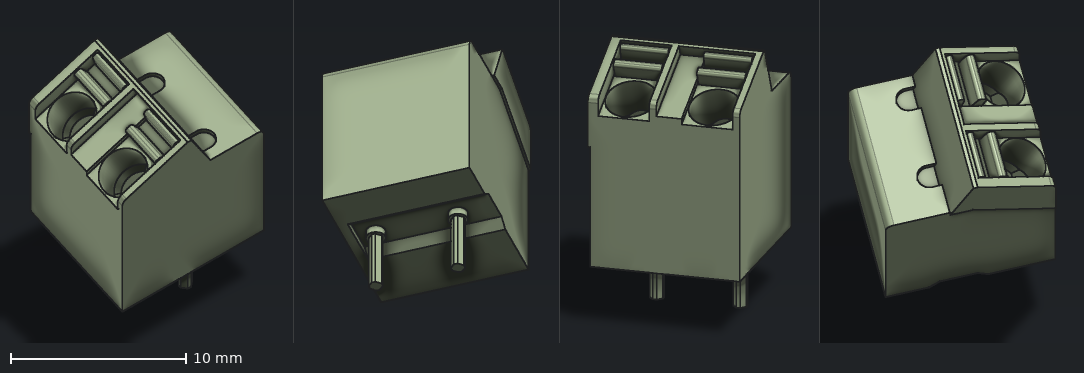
import cadquery as cq
import math


block_width = 8.95
depth = 10.0
shoulder_height = 9.5
head_height = 12.4
side_rib = 0.15
head_seam_depth = 4.9
head_back = 6.22
crest_front = 4.61
corner_radius = 0.5

slope_angle = math.radians(25)
slope_cos = math.cos(slope_angle)
slope_sin = math.sin(slope_angle)
slope_tan = math.tan(slope_angle)

slope_foot = head_height - crest_front * slope_tan
seam_foot = shoulder_height - head_seam_depth * slope_tan
crest_back = head_back - (head_height - shoulder_height) * slope_tan

pole_pitch = 5.0
first_pole = 2.0
pole_centres = [first_pole, first_pole + pole_pitch]

pocket_width = 3.05
pocket_depth = 0.99
pocket_end = 4.85
label_slot_start = 3.96
label_slot_depth = 0.68

wire_hole_diameter = 3.0
wire_hole_centre = 1.18
wire_hole_depth = 2.99
funnel_floor_diameter = 2.45
funnel_cone_taper = 34
funnel_flat_spacing = 1.85
funnel_flat_taper = 40

notch_offset = 0.51
notch_width = 1.4
notch_end = 7.5
notch_depth = 0.3

bar_length = 2.88
bar_height = 0.95
bar_round = 0.19
bar_draft = math.radians(10)
front_bar_face = 2.88
front_bar_width = 0.55
rear_bar_face = 4.75
rear_bar_width = 0.45

pin_offset = 0.24
pin_y = 5.7
pin_size = 0.8
pin_chamfer = 0.29
pin_drop = 3.5
sleeve_diameter = 1.13

relief_height = 0.48
relief_base = 3.5
relief_roof = 2.23
relief_end_wall = 0.64


def slope_plane(depth_below=0.0):
    """Plane parallel to the sloping face: local X is X, local Y runs up the slope."""
    origin = (0, depth_below * slope_sin, slope_foot - depth_below * slope_cos)
    return cq.Plane(origin=origin, xDir=(1, 0, 0), normal=(0, -slope_sin, slope_cos))


def side_profile(points, x_start, x_end):
    """Prism along X from a (Y, Z) outline."""
    return cq.Workplane("YZ").workplane(offset=x_start).polyline(points).close().extrude(x_end - x_start)


def make_block():
    outline = [
        (0, 0),
        (depth, 0),
        (depth, shoulder_height),
        (head_seam_depth, shoulder_height),
        (0, seam_foot),
    ]
    block = side_profile(outline, 0, block_width)
    return block.edges(">Y and >Z and |X").fillet(corner_radius)


def make_head():
    outline = [
        (0, seam_foot),
        (head_seam_depth, shoulder_height),
        (head_back, shoulder_height),
        (crest_back, head_height),
        (crest_front, head_height),
        (0, slope_foot),
    ]
    head = side_profile(outline, -side_rib, block_width)
    front_edge = cq.selectors.NearestToPointSelector((block_width / 2, 0, slope_foot))
    return head.edges(front_edge).fillet(corner_radius)


def make_slope_pocket(x_start, x_end, floor_depth):
    """Open-fronted pocket in the sloping face."""
    reach = pocket_end + depth
    return (
        cq.Workplane(slope_plane(floor_depth))
        .center((x_start + x_end) / 2, pocket_end - reach / 2)
        .rect(x_end - x_start, reach)
        .extrude(floor_depth + corner_radius)
    )


def make_wire_hole(x):
    """Round entry that narrows at its end to a cone with front and back flats."""
    floor = cq.Workplane(slope_plane(pocket_depth + wire_hole_depth)).center(x, wire_hole_centre)
    bore = floor.circle(wire_hole_diameter / 2).extrude(wire_hole_depth)
    cone = floor.circle(funnel_floor_diameter / 2).extrude(wire_hole_depth, taper=-funnel_cone_taper)
    flat_outline = floor.rect(wire_hole_diameter, funnel_flat_spacing)
    flats = flat_outline.extrude(wire_hole_depth, taper=-funnel_flat_taper)
    return bore.intersect(cone).intersect(flats)


def make_test_notch(x):
    """Round-ended notch in the shoulder, stopping at the head's leaning back face."""
    radius = notch_width / 2
    notch_floor = shoulder_height - notch_depth
    round_centre = notch_end - radius
    plan = (
        cq.Workplane(cq.Plane(origin=(x, 0, notch_floor)))
        .moveTo(-radius, head_back)
        .lineTo(-radius, round_centre)
        .threePointArc((0, notch_end), (radius, round_centre))
        .lineTo(radius, head_back)
        .close()
        .extrude(notch_depth)
    )
    under_head = side_profile(
        [
            (head_back, shoulder_height),
            (head_back, notch_floor),
            (head_back + notch_depth * slope_tan, notch_floor),
        ],
        x - radius,
        x + radius,
    )
    return plan.cut(under_head)


def make_base_relief():
    outline = [
        (pin_y - relief_base / 2, 0),
        (pin_y - relief_roof / 2, relief_height),
        (pin_y + relief_roof / 2, relief_height),
        (pin_y + relief_base / 2, 0),
    ]
    return side_profile(outline, 0, block_width - relief_end_wall)


def make_housing():
    housing = make_block().union(make_head())
    for x in pole_centres:
        housing = housing.cut(make_slope_pocket(x - pocket_width / 2, x + pocket_width / 2, pocket_depth))
        housing = housing.cut(make_wire_hole(x))
        housing = housing.cut(make_test_notch(x + notch_offset))
    housing = housing.cut(make_slope_pocket(label_slot_start, pole_centres[-1], label_slot_depth))
    return housing.cut(make_base_relief())


def make_lever_bar(x, square_face, width, direction):
    """Bar on the pocket floor with rounded top corners: one face square, the other drafted.

    The drafted face lies in `direction` (+1 up the slope, -1 down it) from the square face.
    """
    drafted_top = square_face + direction * width
    drafted_base = drafted_top + direction * (bar_height - bar_round) * math.tan(bar_draft)
    shoulder = drafted_top - direction * bar_round
    side_top = bar_height - bar_round
    arc_inset = bar_round * (1 - math.sqrt(0.5))
    arc_top = bar_height - arc_inset
    pocket_floor = slope_plane(pocket_depth)
    plane = cq.Plane(
        origin=pocket_floor.toWorldCoords((x - bar_length / 2, 0)),
        xDir=pocket_floor.yDir,
        normal=pocket_floor.xDir,
    )
    return (
        cq.Workplane(plane)
        .moveTo(square_face, 0)
        .lineTo(square_face, side_top)
        .threePointArc(
            (square_face + direction * arc_inset, arc_top),
            (square_face + direction * bar_round, bar_height),
        )
        .lineTo(shoulder, bar_height)
        .threePointArc((drafted_top - direction * arc_inset, arc_top), (drafted_top, side_top))
        .lineTo(drafted_base, 0)
        .close()
        .extrude(bar_length)
    )


def make_pin(x):
    """Chamfered square pin from the roof of the relief down through its sleeve."""
    return (
        cq.Workplane(cq.Plane(origin=(x, pin_y, -pin_drop)))
        .rect(pin_size, pin_size)
        .extrude(pin_drop + relief_height)
        .edges("|Z")
        .chamfer(pin_chamfer)
    )


def make_sleeve(x):
    """Round sleeve about the pin, from the roof of the relief to the base."""
    sleeve = cq.Workplane(cq.Plane(origin=(x, pin_y, 0))).circle(sleeve_diameter / 2).extrude(relief_height)
    return sleeve.cut(make_pin(x))


housing = make_housing()
front_bars = [make_lever_bar(x, front_bar_face, front_bar_width, 1) for x in pole_centres]
rear_bars = [make_lever_bar(x, rear_bar_face, rear_bar_width, -1) for x in pole_centres]
pins = [make_pin(x + pin_offset) for x in pole_centres]
sleeves = [make_sleeve(x + pin_offset) for x in pole_centres]

bodies = [housing, *front_bars, *rear_bars, *pins, *sleeves]
result = cq.Compound.makeCompound([body.val() for body in bodies])